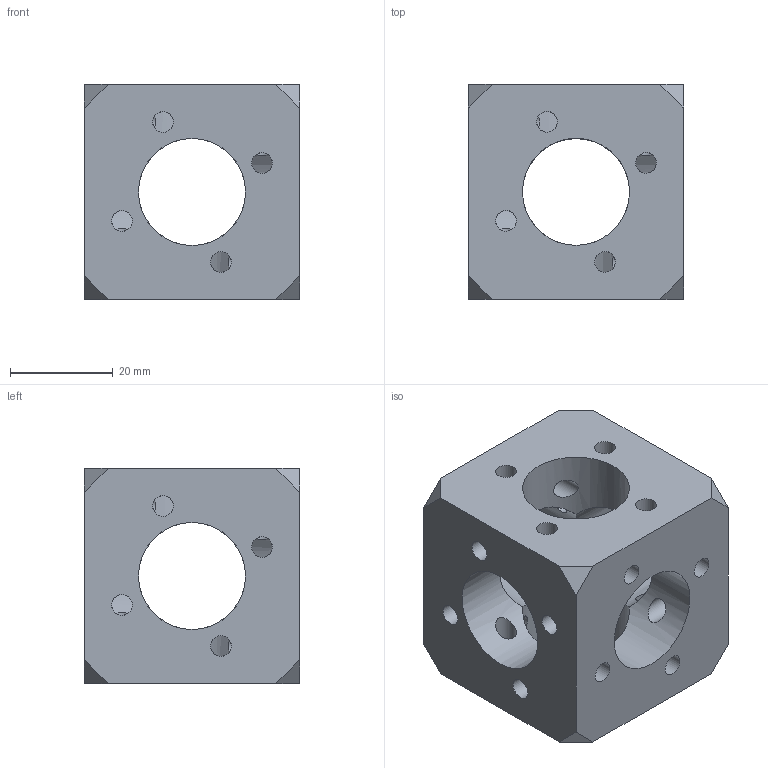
import cadquery as cq
import math

side = 41.91
bore_diameter = 20.83
screw_diameter = 4.04
screw_circle_radius = 14.76
screw_count = 4
first_screw_angle = 22.5
corner_leg = 4.65

half = side / 2
screw_depth = half

faces = [
    ((0, -1, 0), (1, 0, 0)),
    ((0, 1, 0), (-1, 0, 0)),
    ((-1, 0, 0), (0, -1, 0)),
    ((1, 0, 0), (0, 1, 0)),
    ((0, 0, 1), (1, 0, 0)),
    ((0, 0, -1), (1, 0, 0)),
]


def corner_cutter(sx, sy, sz):
    """Block that bevels the corner in the octant with signs sx, sy, sz."""
    normal = cq.Vector(sx, sy, sz).normalized()
    bevel_distance = (3 * half - corner_leg) / math.sqrt(3)
    plane = cq.Plane(origin=(normal * bevel_distance).toTuple(), normal=normal.toTuple())
    cutter_size = 4 * corner_leg
    return cq.Workplane(plane).rect(cutter_size, cutter_size).extrude(cutter_size)


def through_bore(base_plane):
    """Cylinder through the whole cube, square to the given plane."""
    return cq.Workplane(base_plane).circle(bore_diameter / 2).extrude(half, both=True)


def screw_holes(normal, x_direction):
    """Ring of small holes running inward from one face."""
    face_center = tuple(half * component for component in normal)
    face_plane = cq.Plane(origin=face_center, xDir=x_direction, normal=normal)
    return (
        cq.Workplane(face_plane)
        .polarArray(screw_circle_radius, first_screw_angle, 360, screw_count)
        .circle(screw_diameter / 2)
        .extrude(-screw_depth)
    )


result = cq.Workplane("XY").box(side, side, side)
for sx in (-1, 1):
    for sy in (-1, 1):
        for sz in (-1, 1):
            result = result.cut(corner_cutter(sx, sy, sz))

for base_plane in ("XY", "YZ", "XZ"):
    result = result.cut(through_bore(base_plane))

for normal, x_direction in faces:
    result = result.cut(screw_holes(normal, x_direction))